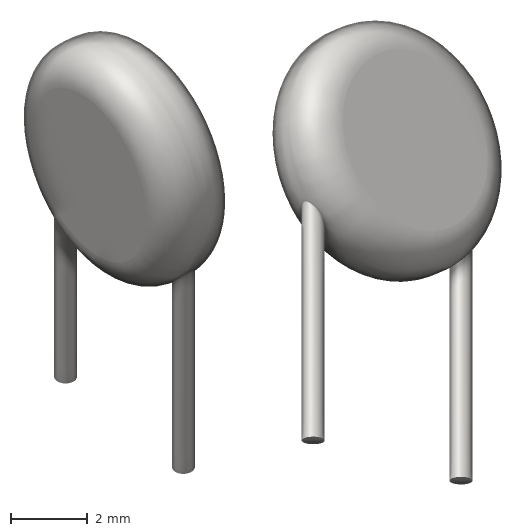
import cadquery as cq

total_height = 12.0
disc_diameter = 6.9
disc_thickness = 2.3
rim_radius = 1.0

lead_diameter = 0.6
lead_spacing = 5.0

lead_length = total_height - disc_diameter / 2


def make_disc():
    """Upright disc, its axis along Y, with both rims rounded."""
    return (
        cq.Workplane("XZ")
        .circle(disc_diameter / 2)
        .extrude(disc_thickness / 2, both=True)
        .edges()
        .fillet(rim_radius)
    )


def make_leads():
    """Two straight round leads running down from mid-height of the disc."""
    return (
        cq.Workplane("XY")
        .pushPoints([(side * lead_spacing / 2, 0) for side in (-1, 1)])
        .circle(lead_diameter / 2)
        .extrude(-lead_length)
    )


result = make_disc().union(make_leads())